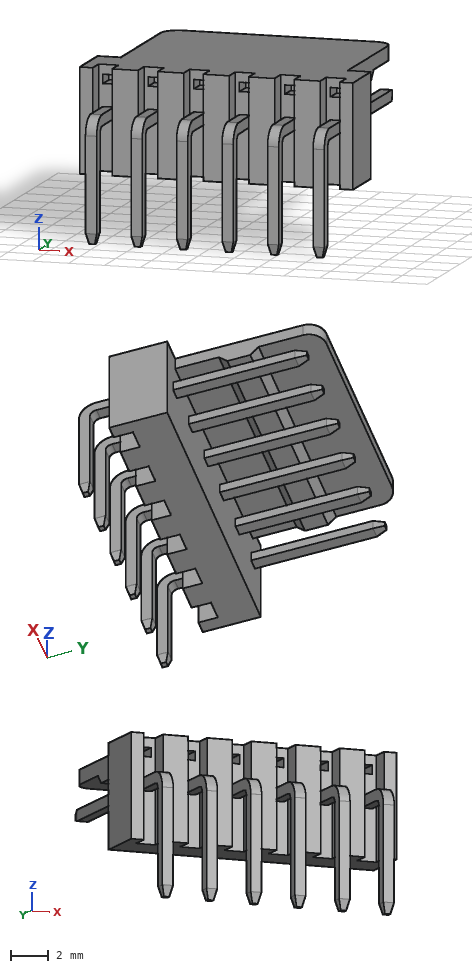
import cadquery as cq


pin_count = 6
body_length = 15.24
pitch = body_length / pin_count
pin_positions = [(i - (pin_count - 1) / 2) * pitch for i in range(pin_count)]

body_depth = 3.28
body_height = 5.8
front_y = -body_depth

slot_width = 1.1
slot_depth = 1.1
hole_height = 0.5
hole_depth = 1.1
hole_center_z = -0.8

tab_width = 12.66
tab_length = 8.2
tab_thickness = 0.82
tab_corner_radius = 0.99
ridge_height = 0.49
ridge_base_start = 2.47
ridge_base_width = 2.24
ridge_slope_run = 0.47

pin_width = 0.62
pin_axis_z = -2.6
pin_rear_reach = 7.48
pin_front_reach = 2.04
pin_bottom_z = -9.2
bend_outer_radius = 0.99
bend_inner_radius = bend_outer_radius - pin_width
tip_length = 0.61
tip_width = pin_width / 2


def make_body():
    """Rectangular block with one full-height slot per pin in its front face."""
    body = cq.Workplane("XY").box(body_length, body_depth, body_height, centered=(True, False, False))
    body = body.translate((0, front_y, -body_height))
    slot = cq.Workplane("XY").box(slot_width, slot_depth, body_height, centered=(True, False, False))
    hole = cq.Workplane("XY").box(pin_width, hole_depth, hole_height, centered=(True, False, True))
    for x in pin_positions:
        body = body.cut(slot.translate((x, front_y, -body_height)))
        body = body.cut(hole.translate((x, front_y + slot_depth, hole_center_z)))
    return body


def make_tab():
    """Flat tab with rounded rear corners and a sloped locking ridge underneath."""
    ridge_base_end = ridge_base_start + ridge_base_width
    ridge_z = -tab_thickness - ridge_height
    return (
        cq.Workplane("YZ")
        .moveTo(0, 0)
        .lineTo(tab_length, 0)
        .lineTo(tab_length, -tab_thickness)
        .lineTo(ridge_base_end, -tab_thickness)
        .lineTo(ridge_base_end - ridge_slope_run, ridge_z)
        .lineTo(ridge_base_start + ridge_slope_run, ridge_z)
        .lineTo(ridge_base_start, -tab_thickness)
        .lineTo(0, -tab_thickness)
        .close()
        .extrude(tab_width / 2, both=True)
        .edges("|Z and >Y")
        .fillet(tab_corner_radius)
    )


def make_tip(plane):
    """Square pyramid frustum that narrows along the normal of the given plane."""
    return (
        cq.Workplane(plane)
        .rect(pin_width, pin_width)
        .workplane(offset=tip_length)
        .rect(tip_width, tip_width)
        .loft(ruled=True)
    )


def make_pin():
    """Square pin bent down through a right angle, tapered at both ends."""
    pin_top_z = pin_axis_z + pin_width / 2
    pin_front_y = front_y - pin_front_reach
    shank_rear_y = pin_rear_reach - tip_length
    shank_bottom_z = pin_bottom_z + tip_length
    shank_length = shank_rear_y - pin_front_y
    shank_drop = pin_top_z - shank_bottom_z

    shank = (
        cq.Workplane("YZ")
        .moveTo(pin_front_y, pin_top_z)
        .hLine(shank_length)
        .vLine(-pin_width)
        .hLine(pin_width - shank_length)
        .vLine(pin_width - shank_drop)
        .hLine(-pin_width)
        .close()
        .extrude(pin_width / 2, both=True)
    )
    inner_corner = cq.NearestToPointSelector((0, pin_front_y + pin_width, pin_top_z - pin_width))
    outer_corner = cq.NearestToPointSelector((0, pin_front_y, pin_top_z))
    shank = shank.edges(inner_corner).fillet(bend_inner_radius)
    shank = shank.edges(outer_corner).fillet(bend_outer_radius)

    rear_plane = cq.Plane((0, shank_rear_y, pin_axis_z), xDir=(1, 0, 0), normal=(0, 1, 0))
    bottom_origin = (0, pin_front_y + pin_width / 2, shank_bottom_z)
    bottom_plane = cq.Plane(bottom_origin, xDir=(1, 0, 0), normal=(0, 0, -1))
    return shank.union(make_tip(rear_plane)).union(make_tip(bottom_plane))


result = make_body().union(make_tab())
pin = make_pin()
for pin_x in pin_positions:
    result = result.union(pin.translate((pin_x, 0, 0)))